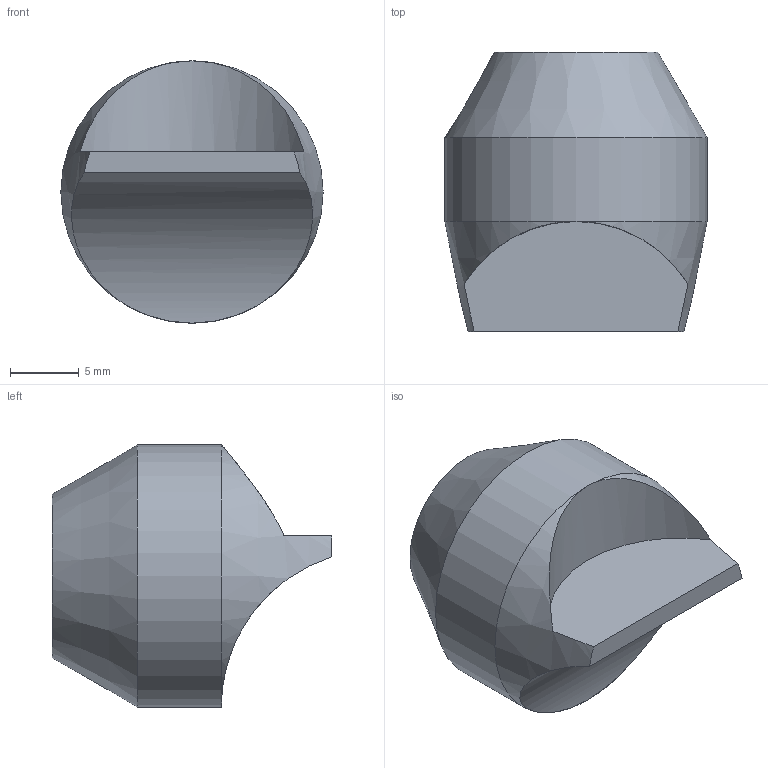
import cadquery as cq
import math

body_diameter = 19.05
total_length = 20.32
body_radius = body_diameter / 2

back_taper_length = 6.2
barrel_length = 6.1
nose_length = total_length - back_taper_length - barrel_length

back_taper_angle = 30.0
nose_taper_angle = 11.1

blade_top_z = 2.92
upper_cut_radius = 9.525
lower_cut_radius = 11.43

tip_y = -nose_length
barrel_back_y = barrel_length
back_y = barrel_back_y + back_taper_length


def turned_body():
    """Barrel with a tapered back and a tapered nose, revolved about Y."""
    nose_radius = body_radius - nose_length * math.tan(math.radians(nose_taper_angle))
    back_radius = body_radius - back_taper_length * math.tan(math.radians(back_taper_angle))
    half_profile = [
        (0, tip_y),
        (nose_radius, tip_y),
        (body_radius, 0),
        (body_radius, barrel_back_y),
        (back_radius, back_y),
        (0, back_y),
    ]
    return cq.Workplane("XY").polyline(half_profile).close().revolve(360, (0, 0), (0, 1))


def upper_cut():
    """Upright cylinder that clears the nose above the blade, tangent to the barrel front."""
    return (
        cq.Workplane("XY", origin=(0, -upper_cut_radius, blade_top_z))
        .circle(upper_cut_radius)
        .extrude(body_radius)
    )


def lower_cut():
    """Crosswise quarter cylinder that hollows the nose below the blade, tangent to the barrel front."""
    arc_middle = lower_cut_radius * math.sqrt(0.5)
    return (
        cq.Workplane("YZ", origin=(0, -lower_cut_radius, -body_radius))
        .lineTo(lower_cut_radius, 0)
        .threePointArc((arc_middle, arc_middle), (0, lower_cut_radius))
        .close()
        .extrude(body_radius, both=True)
    )


result = turned_body().cut(upper_cut()).cut(lower_cut())